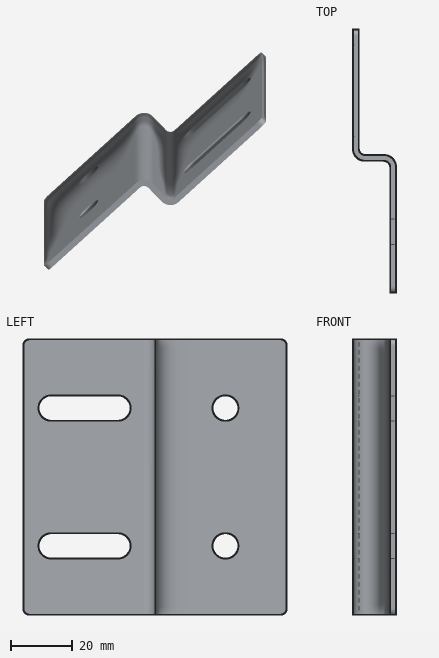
import cadquery as cq

depth = 14.17
width = 86.0
height = 90.0

thickness = 2.0
inner_radius = 2.0
outer_radius = inner_radius + thickness
corner_radius = 2.0

row_spacing = 45.0
opening_width = 8.2
opening_offset_y = 23.0
slot_length = 30.0
hole_length = 8.4

x_min = -depth / 2
x_max = depth / 2
y_min = -width / 2
y_max = width / 2
web_front_y = 0.0
web_back_y = web_front_y + thickness


def make_bent_sheet():
    """Z profile in XY, bent at both ends of the web and extruded to full height."""
    profile = (
        cq.Workplane("XY")
        .moveTo(x_min, y_max)
        .lineTo(x_min, web_front_y + outer_radius)
        .radiusArc((x_min + outer_radius, web_front_y), -outer_radius)
        .lineTo(x_max - outer_radius, web_front_y)
        .radiusArc((x_max - thickness, web_front_y - inner_radius), inner_radius)
        .lineTo(x_max - thickness, y_min)
        .lineTo(x_max, y_min)
        .lineTo(x_max, web_back_y - outer_radius)
        .radiusArc((x_max - outer_radius, web_back_y), -outer_radius)
        .lineTo(x_min + outer_radius, web_back_y)
        .radiusArc((x_min + thickness, web_back_y + inner_radius), inner_radius)
        .lineTo(x_min + thickness, y_max)
        .close()
    )
    return profile.extrude(height / 2, both=True)


def round_plate_corners(sheet):
    """Round the four outer corners of the two plates."""
    return sheet.edges("|X").edges("<Y or >Y").fillet(corner_radius)


def make_opening_pair(center_y, length):
    """Cutters along X for two round-ended openings, one in each row."""
    row_centers = [(center_y, row_spacing / 2), (center_y, -row_spacing / 2)]
    return (
        cq.Workplane("YZ")
        .pushPoints(row_centers)
        .slot2D(length, opening_width)
        .extrude(depth, both=True)
    )


bracket = round_plate_corners(make_bent_sheet())
bracket = bracket.cut(make_opening_pair(opening_offset_y, slot_length))
bracket = bracket.cut(make_opening_pair(-opening_offset_y, hole_length))

result = bracket